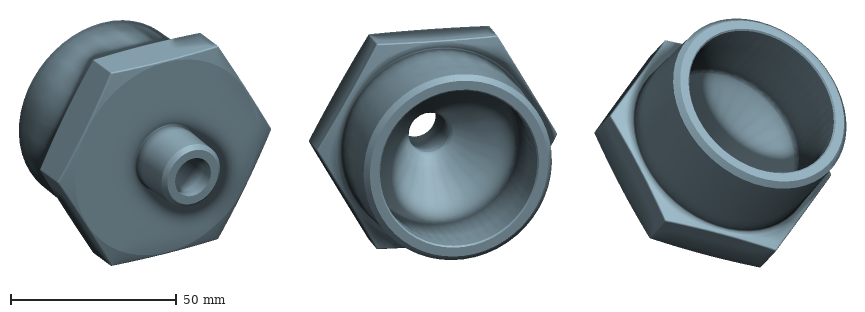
import cadquery as cq
import math

total_length = 56.0
hex_start = 27.0
hex_width = 13.0
hex_end = hex_start + hex_width

across_flats = 65.0
hex_edge_radius = 0.5
face_circle_diameter = 64.0
hex_chamfer_angle = 10.0
corner_clearance = 1.0

taper = 1.0 / 16.0
large_diameter = 60.08
large_plain_length = 3.6
large_chamfer = 1.6
small_diameter = 21.27
small_plain_length = 2.75
small_chamfer = 1.35
shoulder_radius = 0.45

bore_diameter = 49.0
bore_depth = 25.1
bore_mouth_chamfer = 0.45
cone_angle = 109.0
hole_diameter = 12.5
cone_blend_radius = 2.0


def turned(profile):
    """Revolve a closed profile about the X axis."""
    return profile.revolve(360, (0, 0, 0), (1, 0, 0))


def thread_blank(major_diameter, plain_length, length, chamfer):
    """Solid spigot along +X: plain root, tapered body and chamfered tip."""
    root_radius = major_diameter / 2
    taper_length = length - chamfer - plain_length
    tip_radius = root_radius - taper_length * taper / 2
    profile = (
        cq.Workplane("XZ")
        .lineTo(0, root_radius)
        .lineTo(plain_length, root_radius)
        .lineTo(length - chamfer, tip_radius)
        .lineTo(length, tip_radius - chamfer)
        .lineTo(length, 0)
        .close()
    )
    return turned(profile)


def chamfered_hexagon():
    """Hexagon with corners on the Y axis, both faces coned and all rims rounded."""
    corner_diameter = across_flats / math.cos(math.radians(30))
    prism = (
        cq.Workplane("YZ", origin=(hex_start, 0, 0))
        .polygon(6, corner_diameter)
        .extrude(hex_width)
        .edges("|X")
        .fillet(hex_edge_radius)
    )
    face_radius = face_circle_diameter / 2
    rim_radius = corner_diameter / 2 + corner_clearance
    setback = (rim_radius - face_radius) * math.tan(math.radians(hex_chamfer_angle))
    envelope = turned(
        cq.Workplane("XZ")
        .moveTo(hex_start, 0)
        .lineTo(hex_start, face_radius)
        .lineTo(hex_start + setback, rim_radius)
        .lineTo(hex_end - setback, rim_radius)
        .lineTo(hex_end, face_radius)
        .lineTo(hex_end, 0)
        .close()
    )
    hexagon = prism.intersect(envelope)
    rims = hexagon.edges("not |X").edges("not %CIRCLE").edges("not %LINE")
    return rims.fillet(hex_edge_radius)


def stepped_bore():
    """Cutter: wide bore from the large end, blended cone, narrow through hole."""
    bore_radius = bore_diameter / 2
    hole_radius = hole_diameter / 2
    cone_length = (bore_radius - hole_radius) / math.tan(math.radians(cone_angle / 2))
    cutter = turned(
        cq.Workplane("XZ")
        .lineTo(0, bore_radius + bore_mouth_chamfer)
        .lineTo(bore_mouth_chamfer, bore_radius)
        .lineTo(bore_depth, bore_radius)
        .lineTo(bore_depth + cone_length, hole_radius)
        .lineTo(total_length, hole_radius)
        .lineTo(total_length, 0)
        .close()
    )
    cutter = cutter.edges(at_x(bore_depth)).fillet(cone_blend_radius)
    return cutter.edges(at_x(bore_depth + cone_length)).fillet(cone_blend_radius)


def at_x(x):
    """Selector for the circular edges lying in the plane at x."""
    reach = across_flats
    tolerance = 0.01
    return cq.selectors.BoxSelector(
        (x - tolerance, -reach, -reach), (x + tolerance, reach, reach), boundingbox=True
    )


def shoulder_ring(face_x, outward, diameter):
    """Concave fillet ring between a hexagon face and the spigot leaving it."""
    root_radius = diameter / 2
    tip_x = face_x + outward * shoulder_radius
    bulge = shoulder_radius * (1 - math.sqrt(0.5))
    return turned(
        cq.Workplane("XZ")
        .moveTo(face_x, 0)
        .lineTo(face_x, root_radius + shoulder_radius)
        .threePointArc((face_x + outward * bulge, root_radius + bulge), (tip_x, root_radius))
        .lineTo(tip_x, 0)
        .close()
    )


large_spigot = (
    thread_blank(large_diameter, large_plain_length, hex_start, large_chamfer)
    .rotate((0, 0, 0), (0, 0, 1), 180)
    .translate((hex_start, 0, 0))
)
small_spigot = thread_blank(
    small_diameter, small_plain_length, total_length - hex_end, small_chamfer
).translate((hex_end, 0, 0))

body = chamfered_hexagon().union(large_spigot).union(small_spigot)
body = body.union(shoulder_ring(hex_start, -1, large_diameter))
body = body.union(shoulder_ring(hex_end, 1, small_diameter))

result = body.cut(stepped_bore())